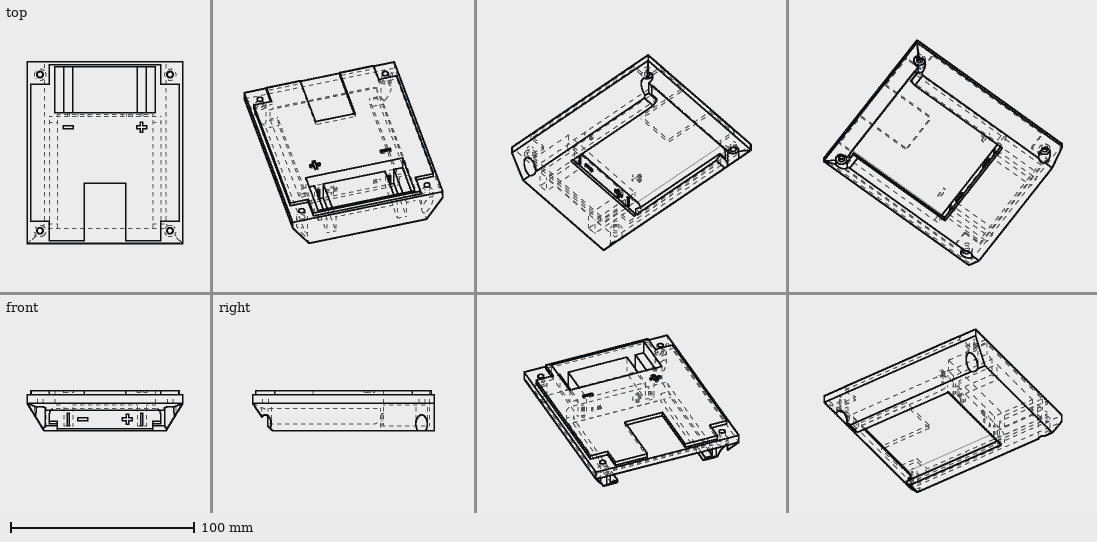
import cadquery as cq
import math

WIDTH = 85.0
LENGTH = 99.25
HEIGHT = 22.0
FRONT = -LENGTH / 2
BACK = LENGTH / 2

RIM_TOP = 19.75
RIM_BOTTOM = 15.0
SIDE_TAPER = 9.25

PLATE_GAP_X = 2.0
PLATE_GAP_Y = 1.6
CORNER_NOTCH = 12.15
BAY_WIDTH = 22.4
BAY_LENGTH = 32.9

SCREW_INSET = 7.0
SCREW_DIAMETER = 3.2
SCREW_HEAD_DIAMETER = 6.2

FRONT_WALL = FRONT + 8.25
FRONT_WALL_TOP = 11.3
FRONT_CHAMFER = 2.65
MITRE_INSET = 10.1
MITRE_RUN = 1.236

BATTERY_WIDTH = 60.6
BATTERY_END = 20.0
BATTERY_TOP = 12.3
BATTERY_CORNER = 3.0
DOOR_WIDTH = 52.0
LIP_TOP = 3.75
LIP_STEP_TOP = 5.3
LIP_RAMP_ANGLE = 25.0
DOOR_CHAMFER = 1.0

POCKET_WIDTH = 54.8
POCKET_LENGTH = 25.0
POCKET_BACK = BACK - 2.8
POCKET_FLOOR = 14.1
CHANNEL_X = 20.0
CHANNEL_WIDTH = 5.05
CHANNEL_FLOOR = 2.75

SLOT_WIDTH = 1.2
SLOT_TOP = 9.65

MARK_LENGTH = 5.6
MARK_STROKE = 1.4
MARK_DEPTH = 1.0
LID_MARK_X = 20.0
LID_MARK_Y = BACK - 35.75
WALL_MARK_X = 12.2
WALL_MARK_Z = 6.3


def block(x_min, x_max, y_min, y_max, z_min, z_max):
    size = (x_max - x_min, y_max - y_min, z_max - z_min)
    return cq.Workplane("XY").box(*size, centered=False).translate((x_min, y_min, z_min))


def centred_block(x_centre, width, y_min, y_max, z_min, z_max):
    return block(x_centre - width / 2, x_centre + width / 2, y_min, y_max, z_min, z_max)


def along_x(points, x_min, x_max):
    """Extrude a (Y, Z) outline between two X positions."""
    return cq.Workplane("YZ", origin=(x_min, 0, 0)).polyline(points).close().extrude(x_max - x_min)


def rim_and_body():
    half = WIDTH / 2
    foot = half - SIDE_TAPER
    section = [
        (-foot, 0),
        (foot, 0),
        (half, RIM_BOTTOM),
        (half, RIM_TOP),
        (-half, RIM_TOP),
        (-half, RIM_BOTTOM),
    ]
    return cq.Workplane("XZ", origin=(0, BACK, 0)).polyline(section).close().extrude(LENGTH)


def lid_plate():
    def level(width, length):
        return cq.Workplane("XY").box(width, length, HEIGHT - RIM_TOP, centered=(True, True, False))

    inner_width = WIDTH - 2 * CORNER_NOTCH
    inner_length = LENGTH - 2 * CORNER_NOTCH
    plate = level(WIDTH - 2 * PLATE_GAP_X, inner_length)
    plate = plate.union(level(inner_width, LENGTH - 2 * PLATE_GAP_Y)).translate((0, 0, RIM_TOP))
    return plate.cut(centred_block(0, BAY_WIDTH, FRONT, FRONT + BAY_LENGTH, RIM_TOP, HEIGHT))


def front_recess():
    """Space in front of the recessed wall, closed at both ends by leaning mitre planes."""
    profile = [(FRONT, RIM_BOTTOM), (FRONT_WALL, FRONT_WALL_TOP), (FRONT_WALL, 0), (FRONT, 0)]
    depth = FRONT_WALL - FRONT

    def plan(mitre_x, mitre_y):
        front_x = mitre_x + MITRE_RUN * (mitre_y - FRONT)
        back_x = front_x - MITRE_RUN * depth
        return [(-front_x, FRONT), (front_x, FRONT), (back_x, FRONT + depth), (-back_x, FRONT + depth)]

    lower = plan(WIDTH / 2 - SIDE_TAPER, FRONT + MITRE_INSET)
    upper = plan(WIDTH / 2, FRONT)
    mitred = (
        cq.Workplane("XY")
        .polyline(lower)
        .close()
        .workplane(offset=RIM_BOTTOM)
        .polyline(upper)
        .close()
        .loft(ruled=True)
    )
    return along_x(profile, -WIDTH / 2, WIDTH / 2).intersect(mitred)


def front_chamfer():
    """Bevel under the recessed wall, running across the full width."""
    bevel = [
        (FRONT, 0),
        (FRONT_WALL + FRONT_CHAMFER, 0),
        (FRONT_WALL, FRONT_CHAMFER),
        (FRONT, FRONT_CHAMFER),
    ]
    return along_x(bevel, -WIDTH / 2, WIDTH / 2)


def battery_compartment():
    cavity = centred_block(0, BATTERY_WIDTH, FRONT_WALL, BATTERY_END, LIP_TOP, BATTERY_TOP)
    cavity = cavity.edges("|Y and >Z").fillet(BATTERY_CORNER)
    ramp_length = (LIP_STEP_TOP - LIP_TOP) / math.tan(math.radians(LIP_RAMP_ANGLE))
    ramp = along_x(
        [(BATTERY_END - ramp_length, LIP_TOP), (BATTERY_END, LIP_TOP), (BATTERY_END, LIP_STEP_TOP)],
        -BATTERY_WIDTH / 2,
        BATTERY_WIDTH / 2,
    )
    half_door = DOOR_WIDTH / 2
    door = along_x(
        [
            (FRONT_WALL, 0),
            (BATTERY_END + DOOR_CHAMFER, 0),
            (BATTERY_END, DOOR_CHAMFER),
            (BATTERY_END, LIP_STEP_TOP),
            (FRONT_WALL, LIP_STEP_TOP),
        ],
        -half_door,
        half_door,
    )
    return cavity.cut(ramp).union(door)


def lid_pocket():
    front = POCKET_BACK - POCKET_LENGTH
    pocket = centred_block(0, POCKET_WIDTH, front, POCKET_BACK, POCKET_FLOOR, HEIGHT)
    for x in (-CHANNEL_X, CHANNEL_X):
        pocket = pocket.union(centred_block(x, CHANNEL_WIDTH, front, POCKET_BACK, CHANNEL_FLOOR, HEIGHT))
        pocket = pocket.union(centred_block(x, SLOT_WIDTH, BATTERY_END, front, CHANNEL_FLOOR, SLOT_TOP))
    return pocket


def polarity_marks(plane, x, offset):
    """A minus at -x and a plus at +x, cut inward from the plane."""
    marks = plane.pushPoints([(-x, offset), (x, offset)]).rect(MARK_LENGTH, MARK_STROKE).extrude(-MARK_DEPTH)
    upright = plane.center(x, offset).rect(MARK_STROKE, MARK_LENGTH).extrude(-MARK_DEPTH)
    return marks.union(upright)


def screw_holes():
    spots = cq.Workplane("XY").rect(WIDTH - 2 * SCREW_INSET, LENGTH - 2 * SCREW_INSET, forConstruction=True)
    spots = spots.vertices()
    heads = spots.circle(SCREW_HEAD_DIAMETER / 2).extrude(RIM_BOTTOM)
    shafts = spots.circle(SCREW_DIAMETER / 2).extrude(HEIGHT)
    return heads.union(shafts)


result = (
    rim_and_body()
    .union(lid_plate())
    .cut(front_recess())
    .cut(front_chamfer())
    .cut(battery_compartment())
    .cut(lid_pocket())
    .cut(polarity_marks(cq.Workplane("XY", origin=(0, 0, HEIGHT)), LID_MARK_X, LID_MARK_Y))
    .cut(polarity_marks(cq.Workplane("XZ", origin=(0, BATTERY_END, 0)), WALL_MARK_X, WALL_MARK_Z))
    .cut(screw_holes())
)